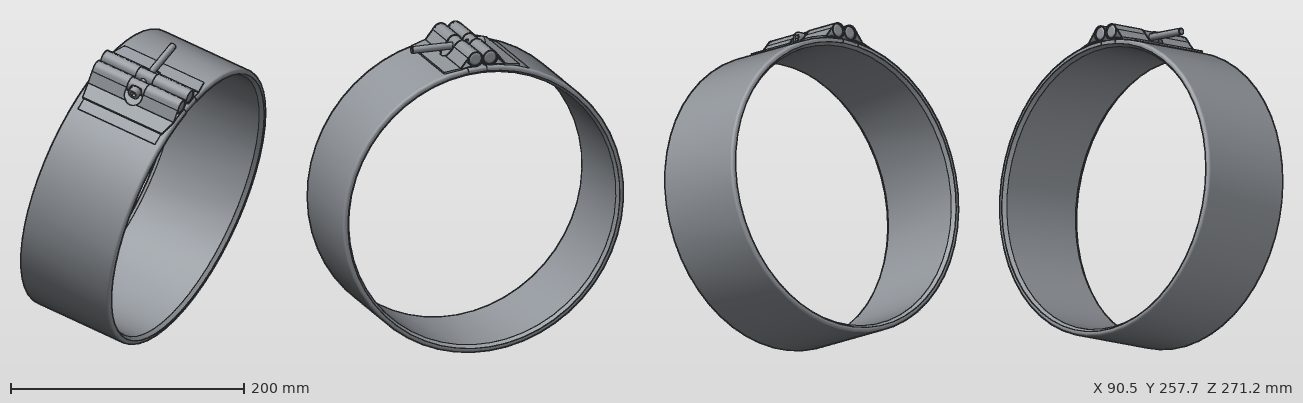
import cadquery as cq
import math

casing_width = 90.5
casing_inner_r = 256.7 / 2
casing_sheet = 0.5
casing_bend_r = 2.5
lip_inner_r = 124.7
gap_y_plus = 14.0
gap_y_minus = 3.0

gasket_inner_r = 244.8 / 2
gasket_taper = 3.5
relief_width = 77.5
relief_end_y = 44.0
relief_depth = 0.5

pin_r = 12.0 / 2
pin_fillet = 2.5
strap_sheet = 0.75
strap_width = 86.2
strap_end_width = 79.7
strap_foot_y = 20.5
strap_end_y = 34.5
slot_width = 16.8
slot_end_y = 21.7

screw_d = 6.0
screw_end_y = 49.3
screw_chamfer = 0.5
head_d = 10.0
head_seat_y = -10.5
head_end_y = -16.5
head_fillet = 0.3
socket_across_flats = 5.0
socket_depth = 3.0

clearance_d = 8.0
spotface_d = 12.0

casing_outer_r = casing_inner_r + casing_sheet
loop_r = pin_r + strap_sheet
pin_y = loop_r
pin_z = casing_outer_r + loop_r
flap_r = casing_outer_r + 2 * strap_sheet
leg_r = casing_outer_r + strap_sheet
flap_tilt = math.asin((strap_foot_y + strap_end_y) / 2 / casing_outer_r)


def angle_from_top(y, radius):
    """Angle in degrees between +Z and the point at height y on a circle about X."""
    return math.degrees(math.asin(y / radius))


def rod(diameter, y_start, y_end):
    """Cylinder along Y on the screw axis."""
    plane = cq.Plane(origin=(0, y_start, pin_z), xDir=(1, 0, 0), normal=(0, 1, 0))
    return cq.Workplane(plane).circle(diameter / 2).extrude(y_end - y_start)


def sleeve_outline(half_width, outer_r, bend_r, inner_r):
    """Half section with rounded outer corners, radius along Y, symmetric about X = 0."""
    slant = bend_r * (1 - math.sqrt(0.5))
    side_r = outer_r - bend_r
    flat = half_width - bend_r
    return (
        cq.Workplane("XY")
        .moveTo(-half_width, inner_r)
        .lineTo(-half_width, side_r)
        .threePointArc((-half_width + slant, outer_r - slant), (-flat, outer_r))
        .lineTo(flat, outer_r)
        .threePointArc((half_width - slant, outer_r - slant), (half_width, side_r))
        .lineTo(half_width, inner_r)
    )


def make_casing():
    start = angle_from_top(gap_y_plus, casing_outer_r)
    end = 360 - angle_from_top(gap_y_minus, casing_outer_r)
    half_width = casing_width / 2
    inner_half = half_width - casing_sheet
    inner_bend = casing_bend_r - casing_sheet
    inner_flat = inner_half - inner_bend
    slant = inner_bend * (1 - math.sqrt(0.5))
    side_r = casing_inner_r - inner_bend
    section = (
        sleeve_outline(half_width, casing_outer_r, casing_bend_r, lip_inner_r)
        .lineTo(inner_half, lip_inner_r)
        .lineTo(inner_half, side_r)
        .threePointArc((inner_half - slant, casing_inner_r - slant), (inner_flat, casing_inner_r))
        .lineTo(-inner_flat, casing_inner_r)
        .threePointArc((-inner_half + slant, casing_inner_r - slant), (-inner_half, side_r))
        .lineTo(-inner_half, lip_inner_r)
        .close()
    )
    band = section.revolve(end - start, (0, 0, 0), (-1, 0, 0))
    return band.rotate((0, 0, 0), (1, 0, 0), 90 - start)


def make_gasket():
    half_width = casing_width / 2 - casing_sheet
    bend_r = casing_bend_r - casing_sheet
    section = (
        sleeve_outline(half_width, casing_inner_r, bend_r, lip_inner_r)
        .lineTo(half_width - gasket_taper, gasket_inner_r)
        .lineTo(-half_width + gasket_taper, gasket_inner_r)
        .close()
    )
    sleeve = section.revolve(360, (0, 0, 0), (1, 0, 0)).rotate((0, 0, 0), (1, 0, 0), 90)
    shell = (
        cq.Workplane("YZ").circle(casing_inner_r).circle(casing_inner_r - relief_depth)
        .extrude(relief_width / 2, both=True)
    )
    window = (
        cq.Workplane("XY")
        .box(relief_width, relief_end_y - gap_y_minus, casing_inner_r, centered=(True, False, False))
        .translate((0, -relief_end_y, 0))
    )
    return sleeve.cut(shell.intersect(window))


def along_x(sketch, width):
    """Extrude a YZ outline symmetrically along X."""
    return sketch.extrude(width / 2, both=True)


def flap_point(radius, y):
    """YZ point at height y on the flat flap, in the layer whose distance from the X axis is radius."""
    return (y, (radius - y * math.sin(flap_tilt)) / math.cos(flap_tilt))


def make_strap():
    """Strap on the +Y side: loop around the pin, sloping leg, lower leg and doubled flap."""
    foot_y, foot_z = flap_point(flap_r, strap_foot_y)
    reach = math.hypot(foot_y - pin_y, foot_z - pin_z)
    normal_angle = math.atan2(foot_z - pin_z, foot_y - pin_y) + math.acos(loop_r / reach)
    normal_y = math.cos(normal_angle)
    normal_z = math.sin(normal_angle)
    inner_foot = (foot_y - strap_sheet * normal_y, foot_z - strap_sheet * normal_z)

    loop = along_x(cq.Workplane("YZ").center(pin_y, pin_z).circle(loop_r).circle(pin_r), strap_width)
    slope = along_x(
        cq.Workplane("YZ").polyline([
            (pin_y + loop_r * normal_y, pin_z + loop_r * normal_z),
            (foot_y, foot_z),
            inner_foot,
            (pin_y + pin_r * normal_y, pin_z + pin_r * normal_z),
        ]).close(),
        strap_width,
    )
    bend = math.tan(flap_tilt / 2)
    lower_leg = along_x(
        cq.Workplane("YZ").polyline([
            (pin_y, casing_outer_r),
            (casing_outer_r * bend, casing_outer_r),
            flap_point(casing_outer_r, strap_end_y),
            flap_point(leg_r, strap_end_y),
            (leg_r * bend, leg_r),
            (pin_y, leg_r),
        ]).close(),
        strap_width,
    )
    flap = along_x(
        cq.Workplane("YZ").polyline([
            inner_foot,
            (foot_y, foot_z),
            flap_point(flap_r, strap_end_y),
            flap_point(leg_r, strap_end_y),
            flap_point(leg_r, inner_foot[0]),
        ]).close(),
        strap_width,
    )
    slot_r = slot_width / 2
    slot_plane = cq.Plane(
        origin=(
            0,
            slot_end_y - slot_r * normal_z,
            foot_z + (foot_y - slot_end_y) * normal_y / normal_z + slot_r * normal_y,
        ),
        xDir=(-1, 0, 0),
        normal=(0, normal_y, normal_z),
    )
    slot_length = 4 * loop_r
    slot = (
        cq.Workplane(slot_plane).circle(slot_r).extrude(slot_r, both=True)
        .union(
            cq.Workplane(slot_plane).center(0, slot_length / 2)
            .rect(slot_width, slot_length).extrude(slot_length, both=True)
        )
    )
    taper = (
        cq.Workplane("XY").polyline([
            (-strap_width / 2, 0),
            (strap_width / 2, 0),
            (strap_width / 2, strap_foot_y),
            (strap_end_width / 2, strap_end_y),
            (-strap_end_width / 2, strap_end_y),
            (-strap_width / 2, strap_foot_y),
        ]).close().extrude(pin_z + loop_r)
    )
    return loop.union(slope).union(flap).cut(slot).union(lower_leg).intersect(taper)


def make_pin(y):
    blank = cq.Workplane("YZ").center(y, pin_z).circle(pin_r).extrude(strap_width / 2, both=True)
    return blank.faces("<X or >X").edges().fillet(pin_fillet)


def make_threaded_pin():
    return make_pin(pin_y).cut(rod(screw_d, 0, 2 * pin_y))


def make_head_pin():
    clearance = rod(clearance_d, -2 * pin_y, 0)
    spotface = rod(spotface_d, -2 * pin_y, head_seat_y)
    return make_pin(-pin_y).cut(clearance).cut(spotface)


def make_screw():
    shank = rod(screw_d, head_seat_y, screw_end_y).faces(">Y").chamfer(screw_chamfer)
    head = rod(head_d, head_end_y, head_seat_y).faces("<Y").edges().fillet(head_fillet)
    socket_plane = cq.Plane(origin=(0, head_end_y, pin_z), xDir=(1, 0, 0), normal=(0, 1, 0))
    socket_d = socket_across_flats / math.cos(math.pi / 6)
    socket = cq.Workplane(socket_plane).polygon(6, socket_d).extrude(socket_depth)
    return shank.union(head).cut(socket)


casing = make_casing()
gasket = make_gasket()
strap = make_strap()
straps = [strap, strap.mirror("XZ")]
pins = [make_threaded_pin(), make_head_pin()]
screw = make_screw()

result = cq.Compound.makeCompound([
    casing.val(),
    gasket.val(),
    *[body.val() for body in straps],
    *[body.val() for body in pins],
    screw.val(),
])